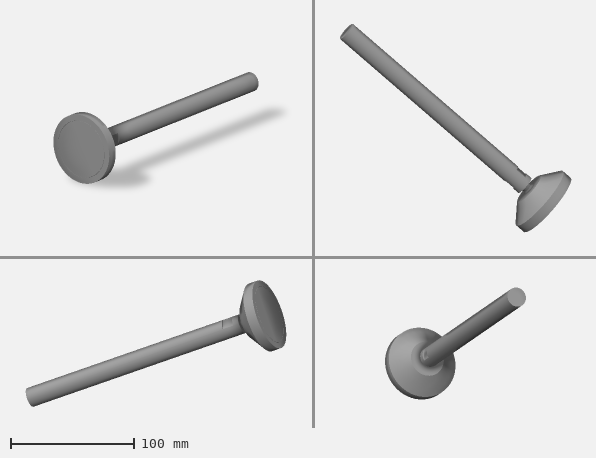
import cadquery as cq

total_length = 220.0

foot_diameter = 58.0
foot_top_diameter = 28.5
rim_height = 8.4
foot_height = 20.0

collar_base_diameter = 10.8
collar_height = 1.3
neck_diameter = 7.7
neck_length = 3.3

spindle_diameter = 16.0
width_across_flats = 13.0
flat_length = 9.5
flat_offset = 5.3

pad_diameter = 47.5
recess_diameter = 48.0
pad_thickness = 2.2

collar_top = foot_height + collar_height
spindle_start = collar_top + neck_length
flat_center = spindle_start + flat_offset + flat_length / 2


def make_disc(diameter, height):
    """Return a disc that rises from the floor plane along +Y."""
    return cq.Workplane("XZ").circle(diameter / 2).extrude(-height)


def make_turned_body():
    """Return the foot, collar, neck and spindle as one revolved solid."""
    outline = [
        (0, 0),
        (foot_diameter / 2, 0),
        (foot_diameter / 2, rim_height),
        (foot_top_diameter / 2, foot_height),
        (collar_base_diameter / 2, foot_height),
        (neck_diameter / 2, collar_top),
        (neck_diameter / 2, spindle_start),
        (spindle_diameter / 2, spindle_start),
        (spindle_diameter / 2, total_length),
        (0, total_length),
    ]
    return cq.Workplane("XY").polyline(outline).close().revolve(360, (0, 0, 0), (0, 1, 0))


def make_flat_cutter(side):
    """Return the block that mills one wrench flat on the +X or -X side."""
    cutter_width = spindle_diameter
    center_x = side * (width_across_flats + cutter_width) / 2
    cutter = cq.Workplane("XY").box(cutter_width, flat_length, spindle_diameter)
    return cutter.translate((center_x, flat_center, 0))


def make_foot_with_spindle():
    """Return the turned body with its wrench flats and pad recess."""
    body = make_turned_body()
    for side in (-1, 1):
        body = body.cut(make_flat_cutter(side))
    return body.cut(make_disc(recess_diameter, pad_thickness))


def make_pad():
    """Return the pad, which fills the depth of the recess."""
    return make_disc(pad_diameter, pad_thickness)


foot_with_spindle = make_foot_with_spindle()
pad = make_pad()

result = cq.Compound.makeCompound([foot_with_spindle.val(), pad.val()])